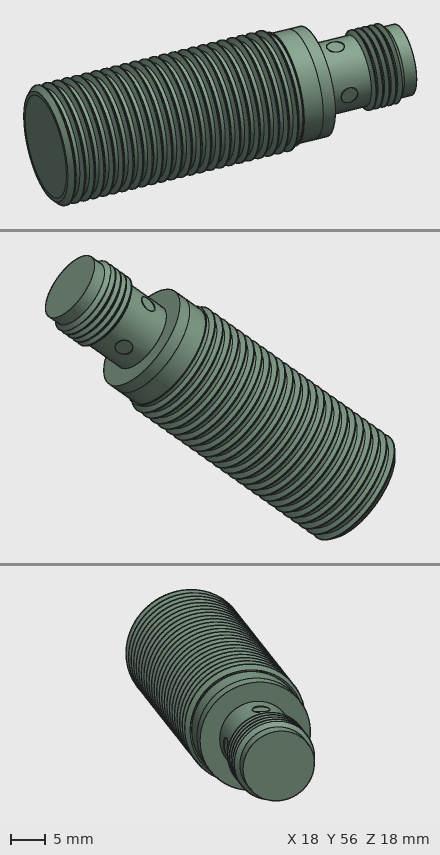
import cadquery as cq

LENGTH = 56.0

SLEEVE_ROOT_RADIUS = 8.25
SLEEVE_CREST_RADIUS = 18.0 / 2
SLEEVE_END = 40.1
SLEEVE_RIDGES = 24
SLEEVE_FIRST_CREST = 0.85
SLEEVE_LAST_CREST = 35.85
SLEEVE_CREST_WIDTH = 0.15
SLEEVE_GROOVE_WIDTH = 0.55
THREAD_END = 37.0
SLEEVE_PITCH = (SLEEVE_LAST_CREST - SLEEVE_FIRST_CREST) / (SLEEVE_RIDGES - 1)
SLEEVE_FLANK = (SLEEVE_PITCH - SLEEVE_CREST_WIDTH - SLEEVE_GROOVE_WIDTH) / 2

CORE_RADIUS = 7.7

RING_THICKNESS = 1.9
RING_END = SLEEVE_END + RING_THICKNESS

BARREL_RADIUS = 5.3
CONNECTOR_CREST_RADIUS = 6.0
CONNECTOR_RIDGES = 5
CONNECTOR_FIRST_CREST = 49.4
CONNECTOR_LAST_CREST = 53.55
CONNECTOR_CREST_WIDTH = 0.15
CONNECTOR_PITCH = (CONNECTOR_LAST_CREST - CONNECTOR_FIRST_CREST) / (CONNECTOR_RIDGES - 1)
CONNECTOR_FLANK = (CONNECTOR_PITCH - CONNECTOR_CREST_WIDTH) / 2

WINDOW_COUNT = 4
WINDOW_RADIUS = 1.3
WINDOW_Y = 45.5
WINDOW_FACE = 5.15
WINDOW_THICKNESS = 1.0


def revolve_about_y(points):
    """Turn a closed outline of (radius, Y) points about the Y axis."""
    return cq.Workplane("XY").polyline(points).close().revolve(360, (0, 0, 0), (0, 1, 0))


def cylinder_along_y(radius, start, end):
    return revolve_about_y([(0, start), (radius, start), (radius, end), (0, end)])


def ridge(root_radius, crest_radius, centre, crest_width, flank):
    """Outline points of one trapezoidal ridge, in order of increasing Y."""
    half_crest = crest_width / 2
    return [
        (root_radius, centre - half_crest - flank),
        (crest_radius, centre - half_crest),
        (crest_radius, centre + half_crest),
        (root_radius, centre + half_crest + flank),
    ]


def make_sleeve():
    points = [(CORE_RADIUS, 0), (SLEEVE_ROOT_RADIUS, 0)]
    for i in range(SLEEVE_RIDGES):
        centre = SLEEVE_FIRST_CREST + i * SLEEVE_PITCH
        ridge_points = ridge(
            SLEEVE_ROOT_RADIUS, SLEEVE_CREST_RADIUS, centre, SLEEVE_CREST_WIDTH, SLEEVE_FLANK
        )
        if i == 0:
            ridge_points = ridge_points[1:]
        points += ridge_points

    runout_start = SLEEVE_LAST_CREST + SLEEVE_CREST_WIDTH / 2 + SLEEVE_FLANK + SLEEVE_GROOVE_WIDTH
    flank_slope = (SLEEVE_CREST_RADIUS - SLEEVE_ROOT_RADIUS) / SLEEVE_FLANK
    runout_radius = SLEEVE_ROOT_RADIUS + (THREAD_END - runout_start) * flank_slope
    points += [
        (SLEEVE_ROOT_RADIUS, runout_start),
        (runout_radius, THREAD_END),
        (SLEEVE_ROOT_RADIUS, THREAD_END),
        (SLEEVE_ROOT_RADIUS, SLEEVE_END),
        (CORE_RADIUS, SLEEVE_END),
    ]
    return revolve_about_y(points)


def make_core():
    return cylinder_along_y(CORE_RADIUS, 0, SLEEVE_END)


def make_ring():
    return cylinder_along_y(SLEEVE_ROOT_RADIUS, SLEEVE_END, RING_END)


def window_discs(outer_face):
    """Discs spaced around the barrel, from the recess floor out to outer_face."""
    recess_floor = WINDOW_FACE - WINDOW_THICKNESS
    disc = (
        cq.Workplane("XY", origin=(0, WINDOW_Y, recess_floor))
        .circle(WINDOW_RADIUS)
        .extrude(outer_face - recess_floor)
    )
    step = 360 / WINDOW_COUNT
    return [disc.rotate((0, 0, 0), (0, 1, 0), i * step) for i in range(WINDOW_COUNT)]


def make_windows():
    return window_discs(WINDOW_FACE)


def make_connector():
    points = [(0, RING_END), (BARREL_RADIUS, RING_END)]
    for i in range(CONNECTOR_RIDGES):
        centre = CONNECTOR_FIRST_CREST + i * CONNECTOR_PITCH
        ridge_points = ridge(
            BARREL_RADIUS, CONNECTOR_CREST_RADIUS, centre, CONNECTOR_CREST_WIDTH, CONNECTOR_FLANK
        )
        if i > 0:
            ridge_points = ridge_points[1:]
        if i == CONNECTOR_RIDGES - 1:
            del ridge_points[1]
        points += ridge_points
    points += [(BARREL_RADIUS, LENGTH), (0, LENGTH)]
    connector = revolve_about_y(points)

    for recess in window_discs(BARREL_RADIUS):
        connector = connector.cut(recess)
    return connector


sleeve = make_sleeve()
core = make_core()
ring = make_ring()
connector = make_connector()
windows = make_windows()

result = cq.Compound.makeCompound(
    [sleeve.val(), core.val(), ring.val(), connector.val(), *[window.val() for window in windows]]
)